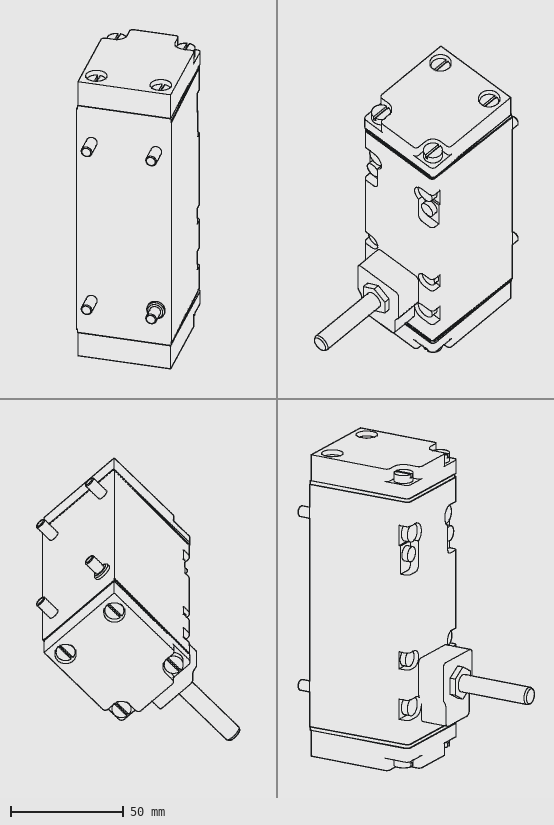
import cadquery as cq


total_length = 142.0
cap_top = total_length / 2
gasket_top = 58.8
block_top = 57.1
block_front_width = 44.0
block_back_width = 42.2
cap_width = 42.9
back_y = 50.8
cap_front_y = 0.4
gasket_inset = 0.4
back_edge_radius = 1.8

head_diameter = 8.5
recess_diameter = 9.5
recess_radius = recess_diameter / 2
slot_width = 1.1
slot_depth = 1.7

cap_recess_depth = 5.8
cap_head_height = 3.7
cap_front_screw_x = 14.9
cap_front_screw_y = 7.5
cap_back_screw_x = 15.9
cap_back_screw_y = 45.0
notch_mouth_radius = 1.5

mount_x = 14.9
mount_z = 40.9
side_recess_floor_y = 45.9
mount_head_y = 49.0
pin_diameter = 5.0
pin_tip_diameter = 4.1
pin_tip_length = 0.4
pin_length = 9.1
collar_diameter = 8.2
collar_face_diameter = 7.0
collar_height = 1.8

cover_x = 16.5
cover_z = -17.9
cover_recess_diameter = 8.0
cover_head_diameter = 7.5
cover_head_y = 48.5

pocket_wall_x = 12.6
pocket_bottom_z = 22.9
pocket_floor_y = 46.7
pocket_corner_radius = 2.5
button_x = 16.6
button_z = 31.4
button_diameter = 7.0
button_y = 49.5

lever_width = 25.0
lever_top_z = -19.0
lever_bottom_z = -49.7
lever_back_y = 63.6
lever_top_radius = 2.0
lever_lower_radius = 2.3
lever_shoulder_radius = 2.7
shaft_z = -31.2
nut_corner_diameter = 15.2
nut_back_y = 66.3
shaft_diameter = 8.0
shaft_tip_diameter = 7.0
shaft_tip_length = 1.0
shaft_end_y = 101.4

SIDES = (-1, 1)


def box(x_range, y_range, z_range):
    """Axis-aligned box between pairs of limits."""
    limits = (x_range, y_range, z_range)
    sizes = [abs(end - start) for start, end in limits]
    corner = [min(pair) for pair in limits]
    return cq.Workplane("XY").box(*sizes, centered=False).translate(tuple(corner))


def y_cylinder(x, z, diameter, y_start, y_end):
    """Cylinder along Y between two Y positions."""
    plane = cq.Plane(origin=(x, y_start, z), xDir=(1, 0, 0), normal=(0, 1, 0))
    return cq.Workplane(plane).circle(diameter / 2).extrude(y_end - y_start)


def y_tapered_tip(x, z, diameter, tip_diameter, y_start, y_end):
    """Cone frustum along Y, from the full diameter to the tip diameter."""
    direction = 1 if y_end > y_start else -1
    cone = cq.Solid.makeCone(
        diameter / 2, tip_diameter / 2, abs(y_end - y_start),
        pnt=cq.Vector(x, y_start, z), dir=cq.Vector(0, direction, 0),
    )
    return cq.Workplane(cone)


def fillet_upright_edges(solid, points, radius):
    """Round the Z-direction edges that pass nearest to the given points."""
    for point in points:
        edge = solid.edges("|Z").edges(cq.selectors.NearestToPointSelector(point))
        solid = edge.fillet(radius)
    return solid


def round_backed_prism(front_half_width, back_half_width, front_y, rear_y, z_start, z_end):
    """Prism that may narrow toward the back, with its two back edges rounded."""
    outline = [
        (-front_half_width, front_y),
        (front_half_width, front_y),
        (back_half_width, rear_y),
        (-back_half_width, rear_y),
    ]
    prism = cq.Workplane("XY", origin=(0, 0, z_start)).polyline(outline).close().extrude(z_end - z_start)
    return prism.edges("|Z and >Y").fillet(back_edge_radius)


def make_housing():
    """Main block with drafted sides, and the slightly smaller gasket bands at both of its ends."""
    front_half = block_front_width / 2
    back_half = block_back_width / 2
    block = round_backed_prism(front_half, back_half, 0, back_y, -block_top, block_top)
    gasket = round_backed_prism(
        front_half - gasket_inset, back_half - gasket_inset, 0, back_y - gasket_inset, -gasket_top, gasket_top
    )
    return block.union(gasket)


def make_slotted_head(x, y, floor_z):
    """Upright screw head with a screwdriver slot along Y."""
    head = cq.Workplane("XY", origin=(x, y, floor_z)).circle(head_diameter / 2).extrude(cap_head_height)
    head_top = floor_z + cap_head_height
    slot = box(
        (x - slot_width / 2, x + slot_width / 2),
        (y - head_diameter, y + head_diameter),
        (head_top - slot_depth, head_top),
    )
    return head.cut(slot)


def make_cap():
    """Upper end cap with two counterbored and two corner-notched screws."""
    half = cap_width / 2
    floor_z = cap_top - cap_recess_depth
    middle_z = cap_top - cap_recess_depth / 2
    notch_x = cap_back_screw_x - recess_radius
    notch_y = cap_back_screw_y - recess_radius

    base = round_backed_prism(half, half, cap_front_y, back_y, gasket_top, floor_z)
    crown = box((-half, half), (cap_front_y, back_y), (floor_z, cap_top))
    for side in SIDES:
        notch = box((side * notch_x, side * half), (notch_y, back_y), (floor_z, cap_top))
        crown = crown.cut(notch)
    inner_corners = [(side * notch_x, notch_y, middle_z) for side in SIDES]
    side_mouths = [(side * half, notch_y, middle_z) for side in SIDES]
    back_mouths = [(side * notch_x, back_y, middle_z) for side in SIDES]
    crown = fillet_upright_edges(crown, inner_corners, recess_radius)
    crown = fillet_upright_edges(crown, side_mouths + back_mouths, notch_mouth_radius)

    front_points = [(side * cap_front_screw_x, cap_front_screw_y) for side in SIDES]
    back_points = [(side * cap_back_screw_x, cap_back_screw_y) for side in SIDES]
    recesses = cq.Workplane("XY", origin=(0, 0, floor_z)).pushPoints(front_points)
    crown = crown.cut(recesses.circle(recess_radius).extrude(cap_recess_depth))
    cap = base.union(crown)
    for x, y in front_points + back_points:
        cap = cap.union(make_slotted_head(x, y, floor_z))
    return cap


def make_side_notch(side, x, z, width, floor_y):
    """U-shaped screw recess, open to the back face and to one side."""
    half = width / 2
    end = y_cylinder(side * x, z, width, floor_y, back_y)
    mouth = box((side * x, side * block_front_width / 2), (floor_y, back_y), (z - half, z + half))
    return end.union(mouth)


def make_pocket(side):
    """Rectangular side pocket that runs up into the upper mounting-screw recess."""
    pocket = box(
        (side * pocket_wall_x, side * block_front_width / 2),
        (pocket_floor_y, back_y),
        (pocket_bottom_z, mount_z),
    )
    inner_bottom = cq.selectors.NearestToPointSelector((side * pocket_wall_x, back_y, pocket_bottom_z))
    return pocket.edges("|Y").edges(inner_bottom).fillet(pocket_corner_radius)


def make_lever_block():
    """Block on the back face, relieved around the two lower mounting screws."""
    half = lever_width / 2
    waist = mount_x - recess_radius
    block = box((-half, half), (back_y, lever_back_y), (lever_bottom_z, lever_top_z))
    block = block.edges("|Y and >Z").fillet(lever_top_radius)
    for side in SIDES:
        relief = box((side * waist, side * half), (back_y, lever_back_y), (lever_bottom_z, -mount_z))
        screw_relief = y_cylinder(side * mount_x, -mount_z, recess_diameter, back_y, lever_back_y)
        block = block.cut(relief).cut(screw_relief)
    block = block.edges("|Y and <Z").fillet(lever_lower_radius)
    for side in SIDES:
        shoulder = cq.selectors.NearestToPointSelector((side * half, lever_back_y, recess_radius - mount_z))
        block = block.edges("|Y").edges(shoulder).fillet(lever_shoulder_radius)
    return block


def make_shaft():
    """Hexagon nut with a corner toward +Z, and the tapered-tip shaft."""
    plane = cq.Plane(origin=(0, lever_back_y, shaft_z), xDir=(0, 0, 1), normal=(0, 1, 0))
    nut = cq.Workplane(plane).polygon(6, nut_corner_diameter).extrude(nut_back_y - lever_back_y)
    taper_y = shaft_end_y - shaft_tip_length
    rod = y_cylinder(0, shaft_z, shaft_diameter, lever_back_y, taper_y)
    tip = y_tapered_tip(0, shaft_z, shaft_diameter, shaft_tip_diameter, taper_y, shaft_end_y)
    return nut.union(rod).union(tip)


def make_pin(x, z):
    """Mounting-screw end that stands out of the front face."""
    taper_y = pin_tip_length - pin_length
    pin = y_cylinder(x, z, pin_diameter, 0, taper_y)
    return pin.union(y_tapered_tip(x, z, pin_diameter, pin_tip_diameter, taper_y, -pin_length))


def make_collar():
    """Chamfered locating collar around one of the pins."""
    collar = y_cylinder(mount_x, -mount_z, collar_diameter, 0, -collar_height)
    return collar.faces("<Y").chamfer((collar_diameter - collar_face_diameter) / 2)


housing = make_housing()
for side in SIDES:
    mount_side_x = side * mount_x
    housing = housing.cut(make_pocket(side))
    for z in (-mount_z, mount_z):
        mount_head = y_cylinder(mount_side_x, z, head_diameter, side_recess_floor_y, mount_head_y)
        housing = housing.cut(make_side_notch(side, mount_x, z, recess_diameter, side_recess_floor_y))
        housing = housing.union(make_pin(mount_side_x, z))
        housing = housing.union(mount_head)
    cover_head = y_cylinder(side * cover_x, cover_z, cover_head_diameter, side_recess_floor_y, cover_head_y)
    button = y_cylinder(side * button_x, button_z, button_diameter, pocket_floor_y, button_y)
    housing = housing.cut(make_side_notch(side, cover_x, cover_z, cover_recess_diameter, side_recess_floor_y))
    housing = housing.union(cover_head).union(button)

upper_cap = make_cap()
lower_cap = upper_cap.mirror("XY")

result = housing.union(upper_cap).union(lower_cap)
result = result.union(make_lever_block()).union(make_shaft()).union(make_collar())